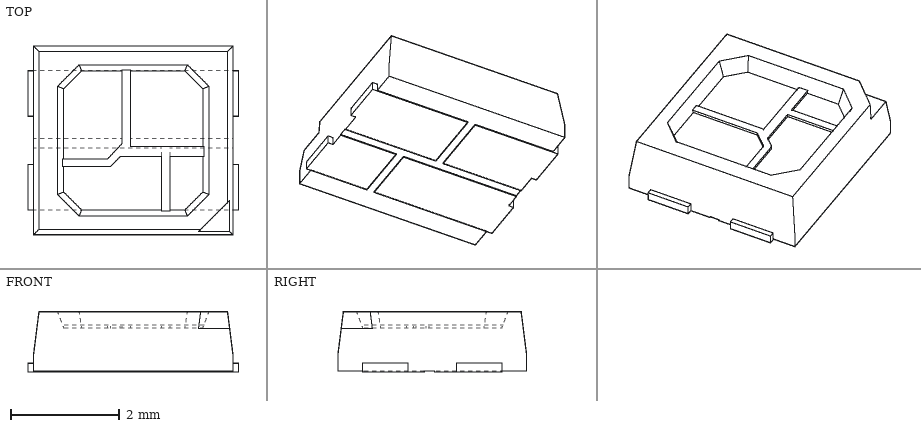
import cadquery as cq
import math

overall_length = 3.9
body_length = 3.697
body_width = 3.5
overall_height = 1.12
standoff = 0.02
skirt_height = 0.3
side_draft_inset = 0.1

cup_width = 2.8
cup_corner = 0.398
cup_depth = 0.3
cup_wall_inset = 0.115

divider_height = 0.05
divider_overlap = 0.04
upper_divider_left, upper_divider_right = -0.205, -0.055
lower_divider_left, lower_divider_right = 0.525, 0.68
right_divider_top, right_divider_bottom = -0.115, -0.3
left_divider_top, left_divider_bottom = -0.345, -0.48
upper_jog_start, upper_jog_drop = -0.475, -0.06
lower_jog_start, lower_jog_end = -0.417, -0.24

notch_leg = 0.5
notch_depth = 0.31

lead_height = 0.168
tab_embed = 0.02
tab_outer_edge = 1.29
tab_inner_edge = 0.445
rear_plate_edge = 0.04
front_plate_edge = -0.145

skirt_top = standoff + skirt_height
cup_floor = overall_height - cup_depth


def make_body():
    """Straight skirt topped by a part whose four sides lean inward."""
    skirt = (
        cq.Workplane("XY", origin=(0, 0, standoff))
        .rect(body_length, body_width)
        .extrude(skirt_height)
    )
    drafted_top = (
        cq.Workplane("XY", origin=(0, 0, skirt_top))
        .rect(body_length, body_width)
        .workplane(offset=overall_height - skirt_top)
        .rect(body_length - 2 * side_draft_inset, body_width - 2 * side_draft_inset)
        .loft(ruled=True)
    )
    return skirt.union(drafted_top)


def make_cup():
    """Octagonal recess narrowing toward its floor."""
    wall_angle = math.degrees(math.atan(cup_wall_inset / cup_depth))
    half = cup_width / 2
    short = half - cup_corner
    outline = [
        (half, -short), (half, short), (short, half), (-short, half),
        (-half, short), (-half, -short), (-short, -half), (short, -half),
    ]
    return (
        cq.Workplane("XY", origin=(0, 0, overall_height))
        .polyline(outline)
        .close()
        .extrude(-cup_depth, taper=wall_angle)
    )


def make_dividers():
    """Branched ridge separating the four pads of the cup floor."""
    reach = cup_width / 2 - cup_wall_inset + divider_overlap
    outline = [
        (upper_divider_left, reach),
        (upper_divider_right, reach),
        (upper_divider_right, right_divider_top),
        (reach, right_divider_top),
        (reach, right_divider_bottom),
        (lower_divider_right, right_divider_bottom),
        (lower_divider_right, -reach),
        (lower_divider_left, -reach),
        (lower_divider_left, right_divider_bottom),
        (lower_jog_end, right_divider_bottom),
        (lower_jog_start, left_divider_bottom),
        (-reach, left_divider_bottom),
        (-reach, left_divider_top),
        (upper_jog_start, left_divider_top),
        (upper_divider_left, upper_jog_drop),
    ]
    return (
        cq.Workplane("XY", origin=(0, 0, cup_floor))
        .polyline(outline)
        .close()
        .extrude(divider_height)
    )


def make_notch():
    """Prism that cuts the marked corner down to a triangular ledge."""
    top_corner_x = body_length / 2 - side_draft_inset
    top_corner_y = -body_width / 2 + side_draft_inset
    margin = 2 * side_draft_inset
    corner_x = top_corner_x + margin
    corner_y = top_corner_y - margin
    leg = notch_leg + 2 * margin
    return (
        cq.Workplane("XY", origin=(0, 0, overall_height))
        .polyline([(corner_x, corner_y), (corner_x, corner_y + leg), (corner_x - leg, corner_y)])
        .close()
        .extrude(-notch_depth)
    )


def make_block(x_range, y_range, height):
    """Box standing on the base plane between the given X and Y limits."""
    x_start, x_end = x_range
    y_start, y_end = y_range
    return (
        cq.Workplane("XY", origin=(x_start, y_start, 0))
        .box(x_end - x_start, y_end - y_start, height, centered=False)
    )


def make_leads():
    """Four leads: a tab outside the body joined to a thin plate beneath it."""
    body_edge = body_length / 2
    lead_end = overall_length / 2
    rows = [
        ((tab_inner_edge, tab_outer_edge), (rear_plate_edge, tab_outer_edge),
         upper_divider_left, upper_divider_right),
        ((-tab_outer_edge, -tab_inner_edge), (-tab_outer_edge, front_plate_edge),
         lower_divider_left, lower_divider_right),
    ]
    leads = cq.Workplane("XY")
    for tab_y, plate_y, left_plate_end, right_plate_start in rows:
        leads = leads.add(make_block((-lead_end, -body_edge + tab_embed), tab_y, lead_height))
        leads = leads.add(make_block((body_edge - tab_embed, lead_end), tab_y, lead_height))
        leads = leads.add(make_block((-body_edge, left_plate_end), plate_y, standoff))
        leads = leads.add(make_block((right_plate_start, body_edge), plate_y, standoff))
    return leads.combine()


housing = make_body().cut(make_cup()).union(make_dividers()).cut(make_notch())
result = housing.union(make_leads())